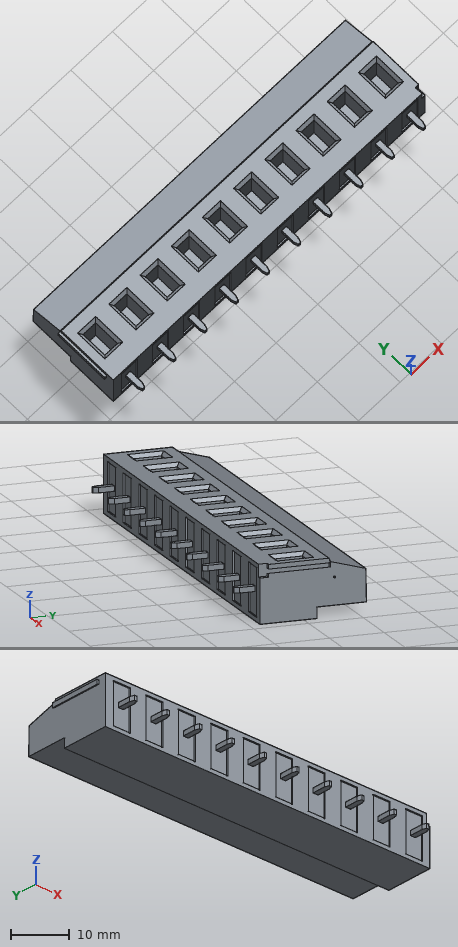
import cadquery as cq
import math

overall_length = 75.6
pole_count = 10
first_pole = 3.85
length = 75.0
pitch = length / pole_count
depth = 19.5
height = 10.5

slope_depth = 6.6
slope_angle = 16.0
step_lean = 0.3
back_drop = 2.5
back_draft = 0.11
back_cut_depth = 9.1
back_cut_height = 2.05
front_strip = 1.6

rail_width = 0.5
rail_top_drop = 0.8
rail_root_height = 0.75
rail_outer_height = 1.0
groove_width = 0.75
notch_height = 2.3

window_x = 4.3
window_y = 6.6
window_bevel_width = 0.64
window_bevel_depth = 0.7
well_depth = 6.8
window_front = 3.8

recess_width = 3.85
recess_height = 8.85
recess_depth = 0.3

pin_width = 1.1
pin_thickness = 1.0
pin_length = 3.5
pin_tip_width = 0.5
pin_tip_length = 0.9
pin_drop = 5.0

nub_height = overall_length - length - rail_width
nub_diameter = 0.3
nub_from_back = 5.9
nub_drop = 3.4

pole_positions = [first_pole + pole * pitch for pole in range(pole_count)]


def make_housing():
    slope_rise = (slope_depth - back_draft) * math.tan(math.radians(slope_angle))
    slope_front = depth - slope_depth
    profile = [
        (0, 0),
        (0, height),
        (slope_front - step_lean, height),
        (slope_front, height - back_drop + slope_rise),
        (depth - back_draft, height - back_drop),
        (depth, back_cut_height),
        (depth - back_cut_depth, back_cut_height),
        (depth - back_cut_depth, 0),
    ]
    return cq.Workplane("YZ").polyline(profile).close().extrude(length)


def make_rail(root_x, width):
    """Rail with a flat top that gets taller downward toward -X; runs along the raised top."""
    top = height - rail_top_drop
    profile = [
        (root_x, top),
        (root_x - width, top),
        (root_x - width, top - rail_outer_height),
        (root_x, top - rail_root_height),
    ]
    rail_length = depth - slope_depth - front_strip
    return (
        cq.Workplane("XZ", origin=(0, front_strip, 0))
        .polyline(profile).close()
        .extrude(-rail_length)
    )


def make_notch():
    return cq.Workplane("XY").box(
        groove_width, front_strip, notch_height, centered=False
    ).translate((length - groove_width, 0, height - notch_height))


def make_window(x):
    """Beveled mouth followed by a straight well."""
    well_x = window_x - 2 * window_bevel_width
    well_y = window_y - 2 * window_bevel_width
    center = (x, window_front + window_y / 2, height)
    mouth = (
        cq.Workplane("XY", origin=center)
        .rect(window_x, window_y)
        .workplane(offset=-window_bevel_depth)
        .rect(well_x, well_y)
        .loft(ruled=True)
    )
    well = cq.Workplane("XY", origin=center).rect(well_x, well_y).extrude(-well_depth)
    return mouth.union(well)


def make_recess(x):
    return (
        cq.Workplane("XZ", origin=(x, 0, height / 2))
        .rect(recess_width, recess_height)
        .extrude(-recess_depth)
    )


def make_pin(x):
    """Flat pin, tapered in width at its tip, starting at the recess floor."""
    half_width = pin_width / 2
    half_tip = pin_tip_width / 2
    taper_start = pin_tip_length - pin_length
    outline = [
        (-half_width, recess_depth),
        (-half_width, taper_start),
        (-half_tip, -pin_length),
        (half_tip, -pin_length),
        (half_width, taper_start),
        (half_width, recess_depth),
    ]
    return (
        cq.Workplane("XY", origin=(x, 0, height - pin_drop - pin_thickness / 2))
        .polyline(outline).close()
        .extrude(pin_thickness)
    )


def make_nub():
    return (
        cq.Workplane("YZ", origin=(length, depth - nub_from_back, height - nub_drop))
        .circle(nub_diameter / 2)
        .extrude(nub_height)
    )


result = make_housing().union(make_rail(0, rail_width))
result = result.cut(make_rail(length, groove_width)).cut(make_notch())
for pole_x in pole_positions:
    result = result.cut(make_window(pole_x)).cut(make_recess(pole_x))
    result = result.union(make_pin(pole_x))
result = result.union(make_nub())